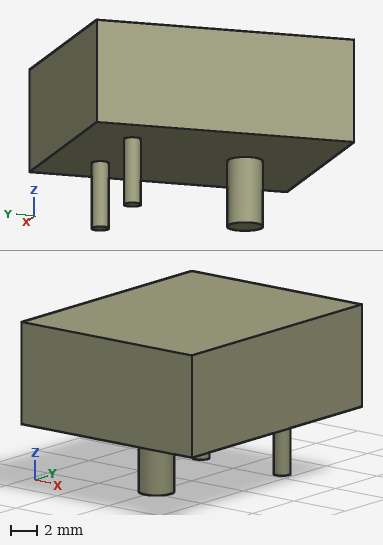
import cadquery as cq

housing_width = 16.6
housing_length = 20.5
housing_height = 8.0

overall_height = 13.1
pin_length = overall_height - housing_height
thin_pin_diameter = 1.3
thick_pin_diameter = 2.7

thin_pin_spacing = 7.91
thin_pin_y = 6.0
thick_pin_y = -4.25


def make_housing():
    """Plain rectangular block standing on Z = 0."""
    return cq.Workplane("XY").box(
        housing_width, housing_length, housing_height, centered=(True, True, False)
    )


def make_pin(diameter, x, y):
    """Round pin reaching down from the housing underside."""
    return cq.Workplane("XY").center(x, y).circle(diameter / 2).extrude(-pin_length)


housing = make_housing()
thick_pin = make_pin(thick_pin_diameter, 0, thick_pin_y)

thin_pins = []
for side in (-1, 1):
    thin_pins.append(make_pin(thin_pin_diameter, side * thin_pin_spacing / 2, thin_pin_y))

result = cq.Compound.makeCompound(
    [housing.val(), thick_pin.val(), *[pin.val() for pin in thin_pins]]
)